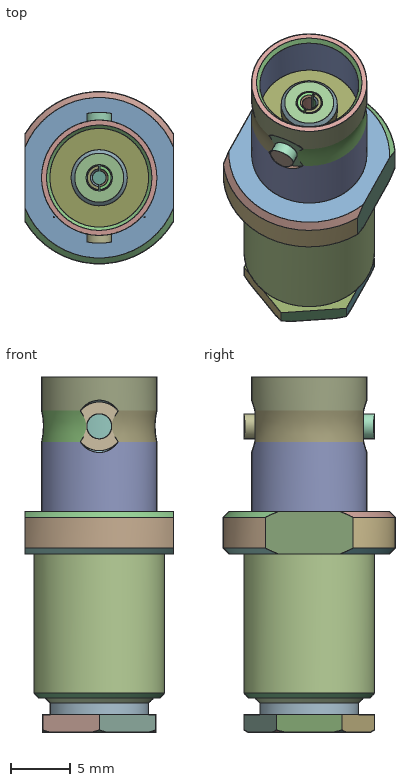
import cadquery as cq
import math


nut_corner_radius = 5.5
nut_height = 1.5
nut_face_radius = 5.13
nut_chamfer_angle = 30

neck_radius = 4.15
flare_size = 0.42

body_radius = 5.5
body_bottom = 2.9
body_chamfer = 0.4

flange_radius = 7.25
flange_bottom = 15.0
flange_top = 18.6
flange_chamfer = 0.5
flange_width = 12.5

barrel_top = 29.9
barrel_radius = 4.85
groove_bottom_radius = 4.7
groove_half_width = 1.33

lug_z = 25.75
lug_radius = 1.05
lug_reach = 5.5
lug_directions = (-1, 1)
seat_offset = 4.575
seat_floor_radius = 2.05
seat_rim_radius = 2.2

socket_radius = 4.15
socket_floor = 25.3
socket_mouth_radius = 4.43
socket_mouth_depth = 0.35

insulator_radius = 2.36
insulator_top = 26.77
insulator_chamfer = 0.3
insulator_bore_radius = 1.1
contact_radius = 1.0
contact_depth = 2.0
contact_bore_radius = 0.58
contact_chamfer = 0.16
contact_slot_width = 0.15
contact_bottom = insulator_top - contact_depth


def cylinder(radius, bottom, top):
    return cq.Workplane("XY").workplane(offset=bottom).circle(radius).extrude(top - bottom)


def revolve_about_z(profile):
    return profile.close().revolve(360, (0, 0, 0), (0, 1, 0))


def turned(points):
    """Solid of revolution from (radius, height) points that start and end on the Z axis."""
    return revolve_about_z(cq.Workplane("XZ").polyline(points))


def make_nut():
    hexagon = (
        cq.Workplane("XY")
        .polygon(6, 2 * nut_corner_radius)
        .extrude(nut_height)
        .rotate((0, 0, 0), (0, 0, 1), 90)
    )
    chamfer_width = nut_corner_radius - nut_face_radius
    chamfer_height = chamfer_width * math.tan(math.radians(nut_chamfer_angle))
    envelope = turned([
        (0, 0),
        (nut_face_radius, 0),
        (nut_corner_radius, chamfer_height),
        (nut_corner_radius, nut_height),
        (0, nut_height),
    ])
    return hexagon.intersect(envelope)


def make_neck_and_body():
    return turned([
        (0, nut_height),
        (neck_radius, nut_height),
        (neck_radius, body_bottom - flare_size),
        (neck_radius + flare_size, body_bottom),
        (body_radius - body_chamfer, body_bottom),
        (body_radius, body_bottom + body_chamfer),
        (body_radius, flange_bottom),
        (0, flange_bottom),
    ])


def make_flange():
    disc = cylinder(flange_radius, flange_bottom, flange_top)
    disc = disc.faces("<Z or >Z").chamfer(flange_chamfer)
    flats = (
        cq.Workplane("XY")
        .workplane(offset=flange_bottom)
        .rect(flange_width, 2 * flange_radius)
        .extrude(flange_top - flange_bottom)
    )
    return disc.intersect(flats)


def make_barrel():
    groove_bottom = (groove_bottom_radius, lug_z)
    groove_end = (barrel_radius, lug_z + groove_half_width)
    profile = (
        cq.Workplane("XZ")
        .moveTo(0, flange_top)
        .lineTo(barrel_radius, flange_top)
        .lineTo(barrel_radius, lug_z - groove_half_width)
        .threePointArc(groove_bottom, groove_end)
        .lineTo(barrel_radius, barrel_top)
        .lineTo(0, barrel_top)
    )
    return revolve_about_z(profile)


def make_lug_seat(direction):
    seat_depth = barrel_radius - seat_offset
    seat_centre = cq.Vector(0, direction * seat_offset, lug_z)
    outward = cq.Vector(0, direction, 0)
    cone = cq.Solid.makeCone(seat_floor_radius, seat_rim_radius, seat_depth, seat_centre, outward)
    return cq.Workplane(cone)


def make_lugs():
    """One cross pin whose ends are rounded to a cylinder about the connector axis."""
    pin = (
        cq.Workplane("XZ")
        .center(0, lug_z)
        .circle(lug_radius)
        .extrude(lug_reach, both=True)
    )
    return pin.intersect(cylinder(lug_reach, lug_z - lug_radius, lug_z + lug_radius))


def make_socket():
    return turned([
        (0, socket_floor),
        (socket_radius, socket_floor),
        (socket_radius, barrel_top - socket_mouth_depth),
        (socket_mouth_radius, barrel_top),
        (0, barrel_top),
    ])


def make_insulator():
    insulator = cylinder(insulator_radius, socket_floor, insulator_top)
    return insulator.faces(">Z").chamfer(insulator_chamfer)


def make_contact():
    contact = cylinder(contact_radius, contact_bottom, insulator_top)
    bore = turned([
        (0, contact_bottom),
        (contact_bore_radius, contact_bottom),
        (contact_bore_radius, insulator_top - contact_chamfer),
        (contact_bore_radius + contact_chamfer, insulator_top),
        (0, insulator_top),
    ])
    slot = (
        cq.Workplane("XY")
        .workplane(offset=contact_bottom)
        .rect(contact_slot_width, 2 * contact_radius)
        .extrude(contact_depth)
    )
    return contact.cut(bore).cut(slot)


result = make_nut()
for section in (make_neck_and_body(), make_flange(), make_barrel()):
    result = result.union(section)

for lug_direction in lug_directions:
    result = result.cut(make_lug_seat(lug_direction))
result = result.union(make_lugs())
result = result.cut(make_socket())

result = result.union(make_insulator())
result = result.cut(cylinder(insulator_bore_radius, contact_bottom, insulator_top))
result = result.union(make_contact())